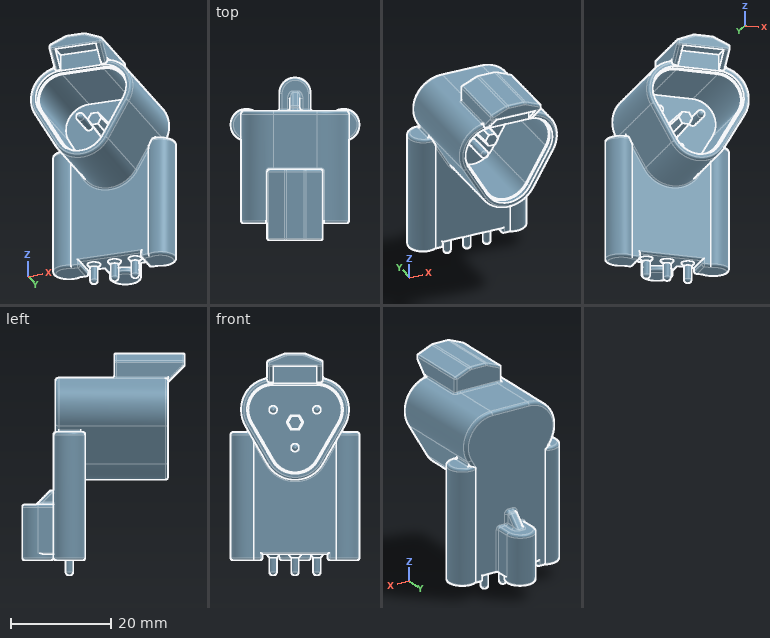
import cadquery as cq
import math


post_radius = 3.2
post_height = 25.62
post_spacing = 19.37
post_edge_fillet = 0.55
plate_thickness = 5.67
notch_width = 12.95
notch_height = 1.2
notch_fillet = 0.45

pin_spacing = 8.75
shell_corner_radius = 6.45
shell_top_z = 36.5
shell_front_y = -19.7
shell_back_y = plate_thickness / 2
shell_front_fillet = 0.55
shell_back_fillet = 0.7
shell_root_fillet = 0.3
mouth_wall = 1.2
mouth_depth = 1.2
cavity_wall = 1.5
cavity_floor_y = -plate_thickness / 2

tab_width = 11.15
tab_crest_width = 3.9
tab_back_y = -8.9
tab_front_y = -23.05
tab_top_z = 41.3
tab_shoulder_z = 39.8
tab_lip_bottom_z = 38.88
tab_opening_width = 8.6
tab_opening_top_z = 38.7
tab_edge_fillet = 0.45
tab_ridge_fillet = 1.25
tab_root_fillet = 0.35

boss_radius = 3.15
boss_axis_y = 6.3
boss_height = 11.15
boss_edge_fillet = 0.55
web_edge_fillet = 0.35
boss_root_fillet = 0.3
rib_width = 2.0
rib_top_z = 14.0
rib_top_y = 3.75
rib_edge_fillet = 0.55
rib_root_fillet = 0.55

pin_radius = 0.8
pin_tip_fillet = 0.75
pin_bottom_z = -3.0
pin_front_y = -8.85
collar_radius = 1.35
collar_height = 0.65
key_flat_width = 2.93
key_length = 8.85
key_taper = 1.5

upper_pin_z = shell_top_z - shell_corner_radius
shell_side_angle = math.radians(60)
triangle_height = pin_spacing * math.sin(shell_side_angle)
lower_pin_z = upper_pin_z - triangle_height
key_z = upper_pin_z - triangle_height / 3
pin_places = [(-pin_spacing / 2, upper_pin_z), (pin_spacing / 2, upper_pin_z), (0, lower_pin_z)]


def edges_inside(x_range, y_range, z_range):
    """Selector for edges that lie wholly within a box."""
    margin = 0.02
    low, high = zip(x_range, y_range, z_range)
    return cq.selectors.BoxSelector(
        tuple(v - margin for v in low), tuple(v + margin for v in high), boundingbox=True
    )


def block(x_range, y_range, z_range):
    (x0, x1), (y0, y1), (z0, z1) = x_range, y_range, z_range
    return cq.Workplane("XY").box(x1 - x0, y1 - y0, z1 - z0, centered=False).translate((x0, y0, z0))


def rounded_triangle(radius, front_y, back_y):
    """Prism along Y: the contact triangle widened on all sides by radius."""
    return (
        cq.Workplane("XZ", origin=(0, back_y, 0))
        .polyline(pin_places)
        .close()
        .offset2D(radius)
        .extrude(back_y - front_y)
    )


def post_plate():
    plan = cq.Workplane("XY").rect(post_spacing, plate_thickness).extrude(post_height)
    posts = (
        cq.Workplane("XY")
        .pushPoints([(-post_spacing / 2, 0), (post_spacing / 2, 0)])
        .circle(post_radius)
        .extrude(post_height)
    )
    body = plan.union(posts)
    half_notch = notch_width / 2
    notch = block((-half_notch, half_notch), (-post_radius, post_radius), (0, notch_height))
    body = body.cut(notch)
    notch_rim = edges_inside(
        (-half_notch, half_notch), (-plate_thickness / 2, plate_thickness / 2), (0, notch_height)
    )
    body = body.edges(notch_rim).edges("not |Y").fillet(notch_fillet)
    return body.faces("<Z or >Z").edges().fillet(post_edge_fillet)


def tab():
    half, crest = tab_width / 2, tab_crest_width / 2
    base_z = upper_pin_z
    body = (
        cq.Workplane("XZ", origin=(0, tab_back_y, 0))
        .polyline([
            (-half, base_z),
            (-half, tab_shoulder_z),
            (-crest, tab_top_z),
            (crest, tab_top_z),
            (half, tab_shoulder_z),
            (half, base_z),
        ])
        .close()
        .extrude(tab_back_y - tab_front_y)
    )
    reach = tab_lip_bottom_z - base_z
    slope = (
        cq.Workplane("YZ", origin=(-half, 0, 0))
        .polyline([(tab_front_y, base_z), (tab_front_y, tab_lip_bottom_z), (tab_front_y + reach, base_z)])
        .close()
        .extrude(tab_width)
    )
    body = body.cut(slope)
    length = (tab_front_y, tab_back_y)
    ridges = edges_inside((-crest, crest), length, (tab_top_z, tab_top_z))
    shoulders = edges_inside((-half, half), length, (tab_shoulder_z, tab_shoulder_z))
    body = body.edges(ridges).edges("|Y").fillet(tab_ridge_fillet)
    rounded = body.faces("<Y or >Y or <(0, 1, 1)").edges("not <Z").add(body.edges(shoulders))
    return rounded.fillet(tab_edge_fillet)


def shell():
    """Outside of the socket with its tab, not yet hollow."""
    sharp = rounded_triangle(shell_corner_radius, shell_front_y, shell_back_y)
    rounded = sharp.faces("<Y").edges().fillet(shell_front_fillet)
    rounded = rounded.faces(">Y").edges().fillet(shell_back_fillet)
    body = sharp.union(tab())
    overhang = tab_width / 2 - pin_spacing / 2
    foot_drop = shell_corner_radius - math.sqrt(shell_corner_radius**2 - overhang**2)
    foot = edges_inside(
        (-tab_width / 2, tab_width / 2), (shell_front_y, tab_back_y), (shell_top_z - foot_drop, shell_top_z)
    )
    body = body.edges(foot).fillet(tab_root_fillet)
    return body.cut(sharp.cut(rounded).cut(tab()))


def post_top_fillet(side):
    """Fillet strip in the sharp corner between a post top and the sloping side of the shell."""
    sine, cosine = math.sin(shell_side_angle), math.cos(shell_side_angle)
    corner_x = (post_height - lower_pin_z) / math.tan(shell_side_angle) + shell_corner_radius / sine
    reach = shell_root_fillet / math.tan(shell_side_angle / 2)
    middle_x = corner_x + reach - shell_root_fillet * sine
    middle_z = post_height + shell_root_fillet * (1 - cosine)
    return (
        cq.Workplane("XZ", origin=(0, shell_back_y - shell_back_fillet, 0))
        .moveTo(side * corner_x, post_height)
        .lineTo(side * (corner_x + reach), post_height)
        .threePointArc(
            (side * middle_x, middle_z),
            (side * (corner_x + reach * cosine), post_height + reach * sine),
        )
        .close()
        .extrude(plate_thickness - shell_back_fillet - post_edge_fillet)
    )


def rear_boss():
    boss = cq.Workplane("XY", origin=(0, boss_axis_y, 0)).circle(boss_radius).extrude(boss_height)
    boss = boss.edges().fillet(boss_edge_fillet)
    web = block((-boss_radius, boss_radius), (0, boss_axis_y), (notch_height, boss_height))
    web = web.edges("|Y and >Z").fillet(boss_edge_fillet)
    web = web.edges("|Y and <Z").fillet(web_edge_fillet)
    return boss.union(web)


def rib():
    """Rib on the boss that leans 45 degrees against the plate."""
    base_z = boss_height - rib_width
    height = rib_top_z - base_z
    body = (
        cq.Workplane("YZ", origin=(-rib_width / 2, 0, 0))
        .polyline([(0, base_z), (rib_top_y + height, base_z), (rib_top_y, rib_top_z), (0, rib_top_z)])
        .close()
        .extrude(rib_width)
    )
    return body.faces(">Z or >(0, 1, 1)").edges("not <Y").edges("not <Z").fillet(rib_edge_fillet)


def contact(x, z):
    """Angled contact: a pin into the socket and a solder pin below the plate, both round-ended."""
    socket_pin = (
        cq.Workplane("XZ", origin=(x, 0, z))
        .circle(pin_radius)
        .extrude(-pin_front_y)
        .faces("<Y")
        .edges()
        .fillet(pin_tip_fillet)
    )
    solder_pin = (
        cq.Workplane("XY", origin=(x, 0, pin_bottom_z))
        .circle(pin_radius)
        .extrude(z - pin_bottom_z)
        .faces("<Z")
        .edges()
        .fillet(pin_tip_fillet)
    )
    collar_foot = cq.Vector(x, 0, notch_height - collar_height)
    collar = cq.Workplane(cq.Solid.makeCone(pin_radius, collar_radius, collar_height, collar_foot))
    return socket_pin.union(solder_pin).union(collar)


def key():
    """Tapered hexagonal post on the cavity floor."""
    return (
        cq.Workplane("XZ", origin=(0, cavity_floor_y, key_z))
        .transformed(rotate=(0, 0, 30))
        .polygon(6, key_flat_width, circumscribed=True)
        .extrude(key_length, taper=key_taper)
    )


result = post_plate().union(shell())
shell_bottom_z = lower_pin_z - shell_corner_radius
plate_front_y = -plate_thickness / 2
seam = edges_inside(
    (-post_spacing / 2, post_spacing / 2), (plate_front_y, plate_front_y), (shell_bottom_z, post_height)
)
result = result.edges(seam).edges("not |Z").fillet(shell_root_fillet)
for side in (-1, 1):
    result = result.union(post_top_fillet(side))

result = result.union(rear_boss())
boss_seam = edges_inside(
    (-boss_radius, boss_radius), (shell_back_y, shell_back_y), (notch_height, boss_height)
)
result = result.edges(boss_seam).fillet(boss_root_fillet)
result = result.union(rib())
rib_foot = edges_inside(
    (-rib_width / 2, rib_width / 2),
    (shell_back_y + boss_root_fillet, boss_axis_y + boss_radius),
    (boss_height, boss_height),
)
result = result.edges(rib_foot).fillet(rib_root_fillet)

cavity = rounded_triangle(shell_corner_radius - cavity_wall, shell_front_y, cavity_floor_y)
mouth = rounded_triangle(shell_corner_radius - mouth_wall, shell_front_y, shell_front_y + mouth_depth)
half_opening = tab_opening_width / 2
opening = block((-half_opening, half_opening), (tab_front_y, shell_front_y), (upper_pin_z, tab_opening_top_z))
result = result.cut(cavity).cut(mouth).cut(opening)

result = result.union(key())
for x, z in pin_places:
    result = result.union(contact(x, z))